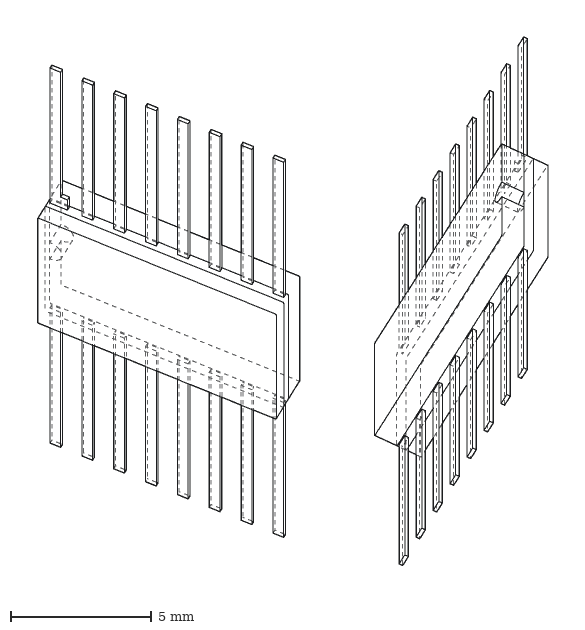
import cadquery as cq

BODY_LENGTH = 9.52
BODY_HEIGHT = 6.33
CORNER_RADIUS = 0.07
TOTAL_DEPTH = 1.88
BASE_DEPTH = 0.9
LID_DEPTH = 0.59
SEAL_DEPTH = TOTAL_DEPTH - BASE_DEPTH - LID_DEPTH

LID_FRONT = -TOTAL_DEPTH / 2
SEAL_FRONT = LID_FRONT + LID_DEPTH
BASE_FRONT = SEAL_FRONT + SEAL_DEPTH

NOTCH_RADIUS = 0.5

LEADS_PER_ROW = 8
LEAD_ROW_LENGTH = 8.89
LEAD_PITCH = LEAD_ROW_LENGTH / (LEADS_PER_ROW - 1)
LEAD_WIDTH = 0.43
LEAD_THICKNESS = 0.15
LEAD_SPAN = 22.6
LEAD_BASE_GAP = 0.038
LEAD_FRONT = BASE_FRONT - LEAD_BASE_GAP - LEAD_THICKNESS
FIRST_LEAD_X = -LEAD_ROW_LENGTH / 2

TAB_EXTENSION = 0.27
TAB_HEIGHT = 0.6


def make_layer(front, depth):
    """Round-cornered plate that starts at Y = front and is depth thick."""
    return (
        cq.Workplane("XY")
        .box(BODY_LENGTH, depth, BODY_HEIGHT, centered=(True, False, True))
        .edges("|Y")
        .fillet(CORNER_RADIUS)
        .translate((0, front, 0))
    )


def make_base():
    """Back plate with the index notch through its full depth."""
    notch = (
        cq.Workplane("XZ", origin=(-BODY_LENGTH / 2, BASE_FRONT, 0))
        .circle(NOTCH_RADIUS)
        .extrude(-BASE_DEPTH)
    )
    return make_layer(BASE_FRONT, BASE_DEPTH).cut(notch)


def make_lead(x):
    """Strip through the seal that forms an upper and a lower lead."""
    return (
        cq.Workplane("XY")
        .box(LEAD_WIDTH, LEAD_THICKNESS, LEAD_SPAN, centered=(True, False, True))
        .translate((x, LEAD_FRONT, 0))
    )


def make_tab():
    """Block beside the root of the first upper lead."""
    return (
        cq.Workplane("XY")
        .box(TAB_EXTENSION, LEAD_THICKNESS, TAB_HEIGHT, centered=False)
        .translate((FIRST_LEAD_X + LEAD_WIDTH / 2, LEAD_FRONT, BODY_HEIGHT / 2))
    )


def make_lead_layer():
    """Seal layer joined with all the leads and the tab."""
    layer = make_layer(SEAL_FRONT, SEAL_DEPTH)
    for index in range(LEADS_PER_ROW):
        layer = layer.union(make_lead(FIRST_LEAD_X + index * LEAD_PITCH))
    return layer.union(make_tab())


base = make_base()
lead_layer = make_lead_layer()
lid = make_layer(LID_FRONT, LID_DEPTH)

result = cq.Compound.makeCompound([base.val(), lead_layer.val(), lid.val()])